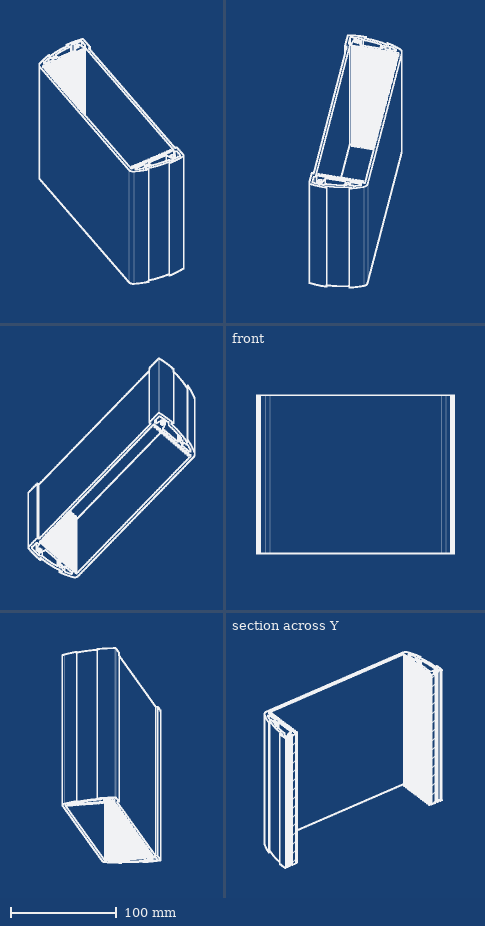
import cadquery as cq
import math

WIDTH = 187.0
DEPTH = 54.6
LENGTH = 150.0
HALF_WIDTH = WIDTH / 2

SIDE_RADIUS = 84.1
SIDE_CENTRE_X = HALF_WIDTH - SIDE_RADIUS
SIDE_CENTRE_Y = 38.9
FRONT_EDGE_RADIUS = 4.9
BACK_EDGE_RADIUS = 1.0

FRONT_PLATE = 2.8
BACK_PLATE = 2.6
BACK_STEP = 1.9
BACK_WALL = 2.8
STEP_HALF_WIDTH = 78.5
CAVITY_HALF_WIDTH = 80.4
CAVITY_BACK_Y = DEPTH - BACK_STEP - BACK_PLATE
INNER_WALL = 2.0
POCKET_X = CAVITY_HALF_WIDTH + INNER_WALL

TOOTH_COUNT = 15
TOOTH_PITCH = 3.0
TOOTH_THICKNESS = 1.3
FIRST_TOOTH_Y = 5.5

SKIN = 2.6
RECESS_DEPTH = 1.9
RECESS_RADIUS = SIDE_RADIUS - RECESS_DEPTH
UPPER_LIP_TIP_Y = 37.0
UPPER_LIP_ROOT_Y = 38.5
UNDERCUT_FLAT = 0.47
LOWER_LIP_TIP_Y = 16.0
LOWER_LIP_ROOT_Y = 14.4

WIDE_RADIUS = SIDE_RADIUS - SKIN
NARROW_RADIUS = RECESS_RADIUS - SKIN
POCKET_BACK_Y = DEPTH - BACK_WALL
UPPER_JOG_TOP_Y = 41.1
UPPER_JOG_BOTTOM_Y = 39.0
BRIDGE_BACK_Y = 21.3
BRIDGE_FRONT_Y = 16.5
LOWER_JOG_X = 85.8
LOWER_JOG_TOP_Y = 13.0
LOWER_JOG_BOTTOM_Y = 12.5
POCKET_FRONT_Y = 6.7
POCKET_END_SAG = 0.7
POCKET_CORNER_RADIUS = 1.1

PORT_X = 84.9
PORT_Y = 18.9
PORT_RADIUS = 1.3
PORT_NECK = 1.1
PORT_MOUTH = 2.0

BOSS_TIP_X = 88.5
BOSS_ROOT_BACK_Y = 49.0
BOSS_ROOT_FRONT_Y = 40.5
BOSS_TIP_BACK_Y = 47.3
BOSS_TIP_FRONT_Y = 42.6
BOSS_TIP_RADIUS = 1.0
CHANNEL_X = 86.2
CHANNEL_Y = 45.0
CHANNEL_RADIUS = 1.3
CHANNEL_FLOOR_Y = 43.5


def side_point(radius, y):
    """Point at height y on the arc of the given radius about the side centre."""
    return SIDE_CENTRE_X + math.sqrt(radius**2 - (y - SIDE_CENTRE_Y) ** 2), y


def side_arc(sketch, radius, y_start, y_end):
    """Continue an outline along a side arc from y_start, its current end, to y_end."""
    middle = side_point(radius, (y_start + y_end) / 2)
    return sketch.threePointArc(middle, side_point(radius, y_end))


def block(x_min, x_max, y_min, y_max):
    """Full-length rectangular bar."""
    corner = cq.Workplane("XY").moveTo(x_min, y_min)
    return corner.rect(x_max - x_min, y_max - y_min, centered=False).extrude(LENGTH)


def rod(x, y, radius):
    """Full-length round bar."""
    return cq.Workplane("XY").center(x, y).circle(radius).extrude(LENGTH)


def fillet_edge(body, point, radius):
    """Round the lengthwise edge nearest to the given profile point."""
    nearest = cq.selectors.NearestToPointSelector((*point, LENGTH / 2))
    return body.edges("|Z").edges(nearest).fillet(radius)


def outer_half():
    outline = cq.Workplane("XY").lineTo(*side_point(SIDE_RADIUS, 0))
    outline = side_arc(outline, SIDE_RADIUS, 0, DEPTH)
    outline = outline.lineTo(STEP_HALF_WIDTH, DEPTH).lineTo(STEP_HALF_WIDTH, DEPTH - BACK_STEP)
    body = outline.lineTo(0, DEPTH - BACK_STEP).close().extrude(LENGTH)
    body = fillet_edge(body, side_point(SIDE_RADIUS, 0), FRONT_EDGE_RADIUS)
    return fillet_edge(body, side_point(SIDE_RADIUS, DEPTH), BACK_EDGE_RADIUS)


def side_recess():
    outline = cq.Workplane("XY").moveTo(*side_point(RECESS_RADIUS, LOWER_LIP_ROOT_Y))
    outline = side_arc(outline, RECESS_RADIUS, LOWER_LIP_ROOT_Y, UPPER_LIP_ROOT_Y)
    outline = outline.line(UNDERCUT_FLAT, 0).lineTo(*side_point(SIDE_RADIUS, UPPER_LIP_TIP_Y))
    outline = outline.lineTo(HALF_WIDTH, LOWER_LIP_TIP_Y)
    return outline.lineTo(*side_point(SIDE_RADIUS, LOWER_LIP_TIP_Y)).close().extrude(LENGTH)


def clamp_boss():
    boss = (
        cq.Workplane("XY")
        .moveTo(CAVITY_HALF_WIDTH, BOSS_ROOT_FRONT_Y)
        .lineTo(POCKET_X, BOSS_ROOT_FRONT_Y)
        .lineTo(BOSS_TIP_X, BOSS_TIP_FRONT_Y)
        .lineTo(BOSS_TIP_X, BOSS_TIP_BACK_Y)
        .lineTo(POCKET_X, BOSS_ROOT_BACK_Y)
        .lineTo(CAVITY_HALF_WIDTH, BOSS_ROOT_BACK_Y)
        .close()
        .extrude(LENGTH)
    )
    for tip_y in (BOSS_TIP_FRONT_Y, BOSS_TIP_BACK_Y):
        boss = fillet_edge(boss, (BOSS_TIP_X, tip_y), BOSS_TIP_RADIUS)
    boss = boss.cut(rod(CHANNEL_X, CHANNEL_Y, CHANNEL_RADIUS))
    return boss.cut(block(CHANNEL_X - CHANNEL_RADIUS, BOSS_TIP_X, CHANNEL_FLOOR_Y, CHANNEL_Y))


def back_pocket():
    outline = cq.Workplane("XY").moveTo(*side_point(WIDE_RADIUS, POCKET_BACK_Y))
    outline = side_arc(outline, WIDE_RADIUS, POCKET_BACK_Y, UPPER_JOG_TOP_Y)
    outline = outline.lineTo(*side_point(NARROW_RADIUS, UPPER_JOG_BOTTOM_Y))
    outline = side_arc(outline, NARROW_RADIUS, UPPER_JOG_BOTTOM_Y, BRIDGE_BACK_Y)
    outline = outline.lineTo(POCKET_X, BRIDGE_BACK_Y).lineTo(POCKET_X, POCKET_BACK_Y)
    pocket = outline.close().extrude(LENGTH)
    pocket = fillet_edge(pocket, (POCKET_X, POCKET_BACK_Y), POCKET_CORNER_RADIUS)
    return pocket.cut(clamp_boss())


def front_pocket():
    front_end_x = side_point(WIDE_RADIUS, POCKET_FRONT_Y)[0]
    end_middle = ((front_end_x + POCKET_X) / 2, POCKET_FRONT_Y - POCKET_END_SAG)
    outline = cq.Workplane("XY").moveTo(POCKET_X, BRIDGE_FRONT_Y)
    outline = outline.lineTo(LOWER_JOG_X, BRIDGE_FRONT_Y).lineTo(LOWER_JOG_X, LOWER_JOG_TOP_Y)
    outline = outline.lineTo(*side_point(WIDE_RADIUS, LOWER_JOG_BOTTOM_Y))
    outline = side_arc(outline, WIDE_RADIUS, LOWER_JOG_BOTTOM_Y, POCKET_FRONT_Y)
    return outline.threePointArc(end_middle, (POCKET_X, POCKET_FRONT_Y)).close().extrude(LENGTH)


def screw_port():
    mouth = (
        cq.Workplane("XY")
        .moveTo(PORT_X - PORT_NECK / 2, PORT_Y)
        .lineTo(PORT_X + PORT_NECK / 2, PORT_Y)
        .lineTo(PORT_X + PORT_NECK / 2, PORT_Y + PORT_RADIUS)
        .lineTo(PORT_X + PORT_MOUTH / 2, BRIDGE_BACK_Y)
        .lineTo(PORT_X - PORT_MOUTH / 2, BRIDGE_BACK_Y)
        .lineTo(PORT_X - PORT_NECK / 2, PORT_Y + PORT_RADIUS)
        .close()
        .extrude(LENGTH)
    )
    return rod(PORT_X, PORT_Y, PORT_RADIUS).union(mouth)


def cavity_half():
    cavity = block(0, CAVITY_HALF_WIDTH, FRONT_PLATE, CAVITY_BACK_Y)
    for index in range(TOOTH_COUNT):
        tooth_y = FIRST_TOOTH_Y + index * TOOTH_PITCH - TOOTH_THICKNESS / 2
        tooth = block(STEP_HALF_WIDTH, CAVITY_HALF_WIDTH, tooth_y, tooth_y + TOOTH_THICKNESS)
        cavity = cavity.cut(tooth)
    return cavity


half = outer_half()
for hollow in (side_recess(), back_pocket(), screw_port(), front_pocket(), cavity_half()):
    half = half.cut(hollow)

result = half.union(half.mirror("YZ"))